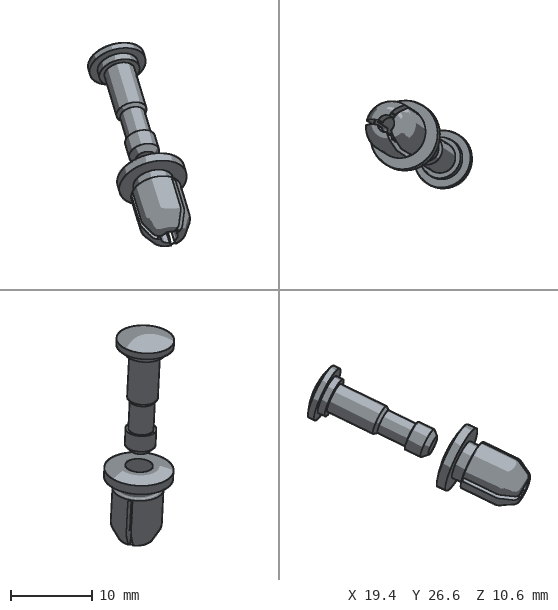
import cadquery as cq
import math

AXIS = (52.1, -84.2, -14.2)
SIDE = (84.2, 52.1, 0)
GROMMET_OFFSET = 18.3

HEAD_RADIUS = 3.57
HEAD_DOME_HEIGHT = 0.77
HEAD_RIM_END = 0.85
COLLAR_RADIUS = 2.55
COLLAR_END = 1.8
SHAFT_RADIUS = 1.92
SHAFT_END = 8.18
PIN_NECK_RADIUS = 1.57
PIN_NECK_START = 8.63
PIN_NECK_END = 12.63
TIP_CHAMFER_START = 14.82
PIN_LENGTH = 15.55
PIN_END_RADIUS = 1.25

FLANGE_RADIUS = 4.3
FLANGE_END = 1.2
FACE_RADIUS = 2.5
FACE_HEIGHT = 0.48
GROMMET_NECK_RADIUS = 2.53
NECK_FILLET = 0.19
BARREL_RADIUS = 3.17
BARREL_START = 2.75
NOSE_CONE_START = 8.18
NOSE_CONE_RADIUS = 2.93
NOSE_CONE_END = 9.5
NOSE_END_RADIUS = 2.2
SHOULDER_START = 7.45
GROMMET_LENGTH = 9.91
NOSE_FACE_RADIUS = 1.45
BORE_RADIUS = 1.7
BORE_END = 7.85
TIP_BORE_RADIUS = 1.07

SLOT_COUNT = 3
SLOT_WIDTH = 0.6
SLOT_START = 2.82
FIRST_SLOT_ANGLE = 47.8


def placed(body, offset):
    """Move a body modelled along +Z onto the inclined common axis."""
    length = math.hypot(*AXIS)
    origin = tuple(offset * part / length for part in AXIS)
    plane = cq.Plane(origin=origin, xDir=SIDE, normal=AXIS)
    return body.val().moved(cq.Location(plane))


def revolved(profile):
    """Turn a closed (radius, height) profile about the local Z axis."""
    return profile.close().revolve(360, (0, 0, 0), (0, 1, 0)).rotate((0, 0, 0), (1, 0, 0), 90)


def dome_midpoint(inner_radius, outer_radius, rise):
    """Midpoint of an arc centred on the axis, falling to height zero at outer_radius."""
    center = (outer_radius**2 - inner_radius**2 - rise**2) / (2 * rise)
    middle_radius = (inner_radius + outer_radius) / 2
    sphere_radius = math.hypot(outer_radius, center)
    return middle_radius, center - math.sqrt(sphere_radius**2 - middle_radius**2)


def make_pin():
    profile = (
        cq.Workplane("XY")
        .moveTo(0, -HEAD_DOME_HEIGHT)
        .threePointArc(dome_midpoint(0, HEAD_RADIUS, HEAD_DOME_HEIGHT), (HEAD_RADIUS, 0))
        .lineTo(HEAD_RADIUS, HEAD_RIM_END)
        .lineTo(COLLAR_RADIUS, HEAD_RIM_END)
        .lineTo(COLLAR_RADIUS, COLLAR_END)
        .lineTo(SHAFT_RADIUS, COLLAR_END)
        .lineTo(SHAFT_RADIUS, SHAFT_END)
        .lineTo(PIN_NECK_RADIUS, PIN_NECK_START)
        .lineTo(PIN_NECK_RADIUS, PIN_NECK_END)
        .lineTo(SHAFT_RADIUS, PIN_NECK_END)
        .lineTo(SHAFT_RADIUS, TIP_CHAMFER_START)
        .lineTo(PIN_END_RADIUS, PIN_LENGTH)
        .lineTo(0, PIN_LENGTH)
    )
    return revolved(profile)


def make_slot(angle):
    """Radial slot with a rounded closed end, open at the nose."""
    half_width = SLOT_WIDTH / 2
    straight_start = SLOT_START + half_width
    slot = (
        cq.Workplane("YZ")
        .moveTo(half_width, straight_start)
        .threePointArc((0, SLOT_START), (-half_width, straight_start))
        .lineTo(-half_width, GROMMET_LENGTH)
        .lineTo(half_width, GROMMET_LENGTH)
        .close()
        .extrude(FLANGE_RADIUS)
    )
    return slot.rotate((0, 0, 0), (0, 0, 1), angle)


def make_grommet():
    profile = (
        cq.Workplane("XY")
        .moveTo(BORE_RADIUS, -FACE_HEIGHT)
        .lineTo(FACE_RADIUS, -FACE_HEIGHT)
        .threePointArc(dome_midpoint(FACE_RADIUS, FLANGE_RADIUS, FACE_HEIGHT), (FLANGE_RADIUS, 0))
        .lineTo(FLANGE_RADIUS, FLANGE_END)
        .lineTo(GROMMET_NECK_RADIUS, FLANGE_END)
        .lineTo(GROMMET_NECK_RADIUS, BARREL_START - NECK_FILLET)
        .tangentArcPoint((GROMMET_NECK_RADIUS + NECK_FILLET, BARREL_START), relative=False)
        .lineTo(BARREL_RADIUS, BARREL_START)
        .lineTo(BARREL_RADIUS, SHOULDER_START)
        .tangentArcPoint((NOSE_CONE_RADIUS, NOSE_CONE_START), relative=False)
        .lineTo(NOSE_END_RADIUS, NOSE_CONE_END)
        .tangentArcPoint((NOSE_FACE_RADIUS, GROMMET_LENGTH), relative=False)
        .lineTo(TIP_BORE_RADIUS, GROMMET_LENGTH)
        .lineTo(TIP_BORE_RADIUS, BORE_END)
        .lineTo(BORE_RADIUS, BORE_END)
    )
    body = revolved(profile)
    for index in range(SLOT_COUNT):
        body = body.cut(make_slot(FIRST_SLOT_ANGLE + index * 360 / SLOT_COUNT))
    return body


pin = placed(make_pin(), 0)
grommet = placed(make_grommet(), GROMMET_OFFSET)

result = cq.Compound.makeCompound([pin, grommet])